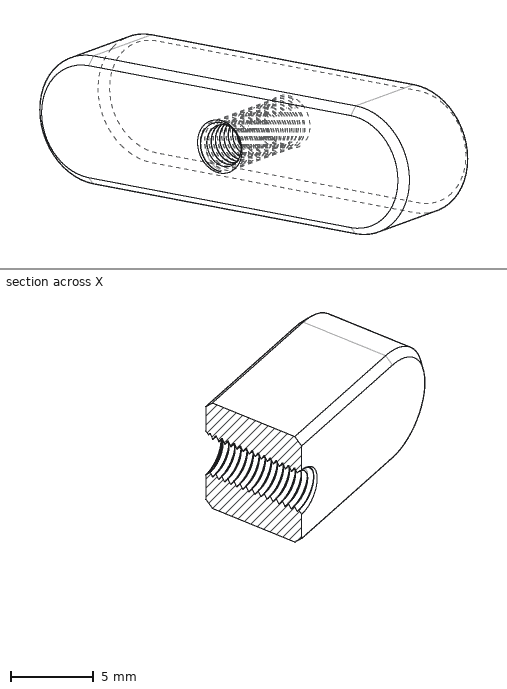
import cadquery as cq
import math

length = 27.5
thickness = 7.0
height = 8.0
edge_chamfer = 0.5

bore_radius = 2.5 / 2
mouth_radius = 3.3 / 2
pitch = 0.44
flank_angle = 30
groove_root_radius = 3.16 / 2
groove_root_width = 0.03
groove_end_depth = 0.08
bore_overlap = 0.02


def make_body():
    """Slot-shaped bar, centred on the origin, chamfered around both flat faces."""
    bar = cq.Workplane("XZ").slot2D(length, height).extrude(thickness / 2, both=True)
    return bar.faces("<Y or >Y").chamfer(edge_chamfer)


def make_bore():
    """Bore at the thread's crests, opening in a 45 degree cone at both flat faces."""
    face_y = thickness / 2
    cone_end_y = face_y - (mouth_radius - bore_radius)
    return (
        cq.Workplane("XY")
        .moveTo(0, -face_y)
        .lineTo(mouth_radius, -face_y)
        .lineTo(bore_radius, -cone_end_y)
        .lineTo(bore_radius, cone_end_y)
        .lineTo(mouth_radius, face_y)
        .lineTo(0, face_y)
        .close()
        .revolve(360, (0, 0), (0, 1))
    )


def make_thread_groove():
    """Right-handed helical groove along Y, beginning at the bottom of the -Y mouth."""
    inner_radius = bore_radius - bore_overlap
    flank_run = (groove_root_radius - inner_radius) * math.tan(math.radians(flank_angle))
    root_half_width = groove_root_width / 2
    inner_half_width = root_half_width + flank_run
    start_z = groove_end_depth - thickness / 2
    groove_length = thickness - 2 * groove_end_depth

    helix = cq.Wire.makeHelix(pitch, groove_length, bore_radius, cq.Vector(0, 0, start_z))
    groove = (
        cq.Workplane("XZ")
        .moveTo(inner_radius, start_z - inner_half_width)
        .lineTo(groove_root_radius, start_z - root_half_width)
        .lineTo(groove_root_radius, start_z + root_half_width)
        .lineTo(inner_radius, start_z + inner_half_width)
        .close()
        .sweep(cq.Workplane(helix), isFrenet=True)
    )
    along_y = groove.rotate((0, 0, 0), (1, 0, 0), -90)
    return along_y.rotate((0, 0, 0), (0, 1, 0), 90)


result = make_body().cut(make_thread_groove()).cut(make_bore())